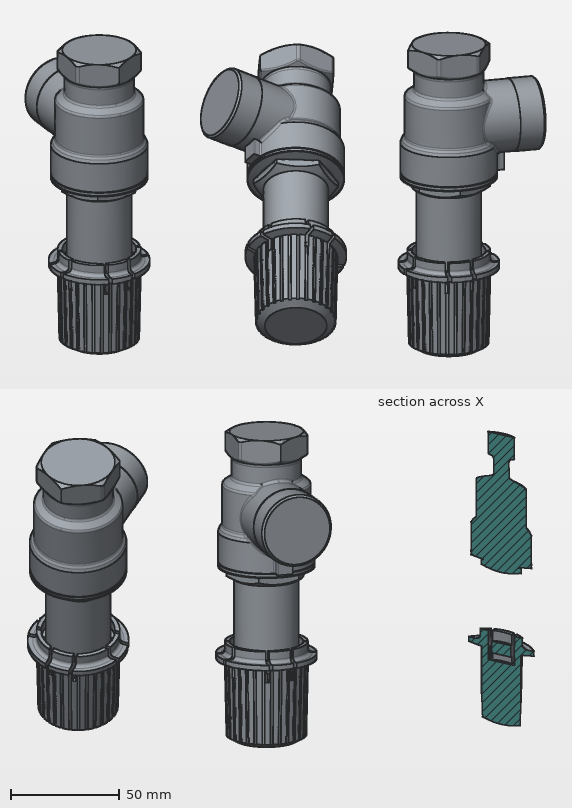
import cadquery as cq
import math


edge_tolerance = 0.05

neck_radius = 16.1
neck_flare_radius = 16.3
neck_flare_z = 24.0
shoulder_radius = 20.5
step_radius = 21.7
skirt_radius = 22.4
neck_end_z = 15.5
shoulder_top_z = 12.4
shoulder_bottom_z = -7.3
step_z = -8.9
skirt_top_z = -10.6
step_fillet = 1.5
skirt_edge_drop = 0.95
skirt_bottom_z = -28.15
skirt_inner_edge_radius = 18.0
seam_zs = (-25.0, -26.8)
seam_width = 0.3
seam_depth = 0.25

nut_across_flats = 34.0
nut_corner_radius = nut_across_flats / 2 / math.cos(math.pi / 6)
nut_chamfer_slope = math.tan(math.pi / 6)
inlet_top_z = 37.0
inlet_bottom_z = 25.2
inlet_corner_fillet = 2.0
inlet_chamfer_fillet = 1.0
bonnet_bottom_z = -33.0

port_end_x = -42.0
port_radius = 16.85
port_collar_length = 12.3
port_collar_radius = 17.0
port_chamfer = 1.0
port_root_fillet = 1.5

rib_face_x = -25.6
rib_width = 7.8
rib_bottom_z = -25.0
rib_edge_fillet = 0.45
rib_root_radius = 0.9

stem_radius = 15.0
stem_bottom_z = -74.3

knob_top_z = -63.2
knob_bottom_z = -110.0
collar_radius = 19.2
collar_bore_radius = 17.0
collar_ledge_z = -68.2
flange_radius = 23.34
flange_top_z = -68.6
flange_edge_z = -71.1
flange_bottom_z = -72.0
flange_root_fillet = 1.8
grip_top_radius = 19.3
grip_end_radius = 18.5
grip_end_z = -107.6
knob_tip_radius = 14.3
slot_offset = 5.93
slot_width = 1.6
slot_bottom_z = -77.8
flute_count = 30
flute_width = 1.2
flute_depth = 0.6

cut_clearance = 1.0


def spin(profile):
    """Revolve a closed profile drawn in the XZ plane about the Z axis."""
    return profile.close().revolve(360, (0, 0, 0), (0, 1, 0))


def ring(outer_radius, inner_radius, bottom_z, height):
    return (
        cq.Workplane("XY", origin=(0, 0, bottom_z))
        .circle(outer_radius)
        .circle(inner_radius)
        .extrude(height)
    )


def hexagon(bottom_z, top_z, turn):
    """Hexagonal prism with a corner on X, turned about Z by the given angle."""
    return (
        cq.Workplane("XY", origin=(0, 0, bottom_z))
        .polygon(6, 2 * nut_corner_radius)
        .extrude(top_z - bottom_z)
        .rotate((0, 0, 0), (0, 0, 1), turn)
    )


def valve_body():
    """Solid body without the inlet nut, with rounded steps between neck, shoulder and skirt."""
    sharp = spin(
        cq.Workplane("XZ")
        .moveTo(0, inlet_bottom_z)
        .lineTo(neck_flare_radius, inlet_bottom_z)
        .lineTo(neck_radius, neck_flare_z)
        .lineTo(neck_radius, neck_end_z)
        .lineTo(shoulder_radius, shoulder_top_z)
        .lineTo(shoulder_radius, shoulder_bottom_z)
        .lineTo(step_radius, step_z)
        .lineTo(skirt_radius, skirt_top_z)
        .lineTo(skirt_radius, skirt_bottom_z + skirt_edge_drop)
        .lineTo(skirt_inner_edge_radius, skirt_bottom_z)
        .lineTo(0, skirt_bottom_z)
    )
    rounded = sharp
    for edge_z in (neck_end_z, shoulder_top_z, shoulder_bottom_z):
        rounded = rounded.edges(ring_edge_at(edge_z)).fillet(step_fillet)
    return rounded


def ring_edge_at(z):
    """Selector for the edges lying in the horizontal plane at height z."""
    reach = 2 * skirt_radius
    return cq.selectors.BoxSelector(
        (-reach, -reach, z - edge_tolerance),
        (reach, reach, z + edge_tolerance),
        boundingbox=True,
    )


def port_pipe():
    """Plain pipe from the port collar to the body axis, with its seam turned to the top."""
    length = -port_end_x - port_collar_length
    pipe = cq.Workplane("YZ", origin=(-length, 0, 0)).circle(port_radius).extrude(length)
    return pipe.rotate((0, 0, 0), (1, 0, 0), 90)


def port_collar():
    collar = cq.Workplane("YZ", origin=(port_end_x, 0, 0)).circle(port_collar_radius)
    collar = collar.extrude(port_collar_length).faces("<X").chamfer(port_chamfer)
    return collar.rotate((0, 0, 0), (1, 0, 0), 90)


def body_with_port():
    joined = valve_body().union(port_pipe())
    joined = joined.edges("%BSPLINE").fillet(port_root_fillet)
    return joined.union(port_collar())


def rib():
    """Upright rib with rounded outer edges and a flared root where it meets the skirt."""
    half_width = rib_width / 2
    root_half_width = half_width + rib_root_radius
    root_x = -math.sqrt(skirt_radius**2 - root_half_width**2)
    flare_x = root_x - rib_root_radius
    return (
        cq.Workplane("XY", origin=(0, 0, rib_bottom_z))
        .moveTo(-stem_radius, root_half_width)
        .lineTo(root_x, root_half_width)
        .radiusArc((flare_x, half_width), rib_root_radius)
        .lineTo(rib_face_x, half_width)
        .lineTo(rib_face_x, -half_width)
        .lineTo(flare_x, -half_width)
        .radiusArc((root_x, -root_half_width), rib_root_radius)
        .lineTo(-stem_radius, -root_half_width)
        .close()
        .extrude(-rib_bottom_z)
        .edges("|Z and <X")
        .fillet(rib_edge_fillet)
    )


def seam_grooves():
    """Rings that cut the fine grooves near the foot of the skirt."""
    outer_radius = skirt_radius + cut_clearance
    inner_radius = skirt_radius - seam_depth
    grooves = cq.Workplane("XY")
    for seam_z in seam_zs:
        groove = ring(outer_radius, inner_radius, seam_z - seam_width, seam_width)
        grooves = grooves.add(groove)
    return grooves


def inlet_nut():
    """Nut with conical chamfers at both ends; the corners on X stay sharp, the others rounded."""
    reach = nut_corner_radius
    top_chamfer = (reach - nut_across_flats / 2) * nut_chamfer_slope
    bottom_chamfer = (reach - neck_flare_radius) * nut_chamfer_slope
    envelope = spin(
        cq.Workplane("XZ")
        .moveTo(0, inlet_bottom_z)
        .lineTo(neck_flare_radius, inlet_bottom_z)
        .lineTo(reach, inlet_bottom_z + bottom_chamfer)
        .lineTo(reach, inlet_top_z - top_chamfer)
        .lineTo(nut_across_flats / 2, inlet_top_z)
        .lineTo(0, inlet_top_z)
    )
    prism = hexagon(inlet_bottom_z, inlet_top_z, 0)
    prism = prism.edges("|Z and (>Y or <Y)").fillet(inlet_corner_fillet)
    cone_top_z = inlet_bottom_z + bottom_chamfer
    lower_edges = cq.selectors.BoxSelector(
        (-nut_across_flats, -nut_across_flats, inlet_bottom_z + edge_tolerance),
        (nut_across_flats, nut_across_flats, cone_top_z + edge_tolerance),
        boundingbox=True,
    )
    return prism.intersect(envelope).edges(lower_edges).fillet(inlet_chamfer_fillet)


def bonnet_nut():
    chamfer_height = (nut_corner_radius - stem_radius) * nut_chamfer_slope
    envelope = spin(
        cq.Workplane("XZ")
        .moveTo(0, bonnet_bottom_z)
        .lineTo(stem_radius, bonnet_bottom_z)
        .lineTo(nut_corner_radius, bonnet_bottom_z + chamfer_height)
        .lineTo(nut_corner_radius, skirt_bottom_z)
        .lineTo(0, skirt_bottom_z)
    )
    return hexagon(bonnet_bottom_z, skirt_bottom_z, 30).intersect(envelope)


def stem():
    return (
        cq.Workplane("XY", origin=(0, 0, stem_bottom_z))
        .circle(stem_radius)
        .extrude(skirt_bottom_z - stem_bottom_z)
    )


def knob_blank():
    """Hollow knob whose ledge closes on the stem, with a chamber below the stem end."""
    outside = spin(
        cq.Workplane("XZ")
        .moveTo(0, knob_top_z)
        .lineTo(collar_radius, knob_top_z)
        .lineTo(collar_radius, flange_top_z + flange_root_fillet)
        .tangentArcPoint((collar_radius + flange_root_fillet, flange_top_z), relative=False)
        .lineTo(flange_radius, flange_top_z)
        .lineTo(flange_radius, flange_edge_z)
        .lineTo(grip_top_radius, flange_bottom_z)
        .lineTo(grip_end_radius, grip_end_z)
        .lineTo(knob_tip_radius, knob_bottom_z)
        .lineTo(0, knob_bottom_z)
    )
    bore = cq.Workplane("XY", origin=(0, 0, collar_ledge_z)).circle(collar_bore_radius)
    bore = bore.extrude(knob_top_z - collar_ledge_z)
    chamber = cq.Workplane("XY", origin=(0, 0, slot_bottom_z)).circle(collar_bore_radius)
    chamber = chamber.extrude(stem_bottom_z - slot_bottom_z)
    return outside.cut(bore).cut(chamber)


def knob_slots():
    """Straight slots through the collar and flange, two along Y and two along X."""
    slots = cq.Workplane("XY")
    height = knob_top_z - slot_bottom_z
    slot_length = 2 * (flange_radius + cut_clearance)
    for turn in (0, 90):
        for offset in (-slot_offset, slot_offset):
            slot = (
                cq.Workplane("XY", origin=(0, 0, slot_bottom_z))
                .center(offset, 0)
                .rect(slot_width, slot_length)
                .extrude(height)
                .rotate((0, 0, 0), (0, 0, 1), turn)
            )
            slots = slots.add(slot)
    return slots


def grip_flutes():
    """Shallow grooves that follow the taper of the grip from the flange to the tip chamfer."""
    flutes = cq.Workplane("XY")
    section = (
        cq.Workplane("XZ", origin=(0, flute_width / 2, 0))
        .moveTo(grip_top_radius - flute_depth, flange_bottom_z)
        .lineTo(grip_top_radius + cut_clearance, flange_bottom_z)
        .lineTo(grip_end_radius + cut_clearance, knob_bottom_z)
        .lineTo(grip_end_radius - flute_depth, knob_bottom_z)
        .close()
        .extrude(flute_width)
    )
    pitch = 360 / flute_count
    first_angle = 90 + pitch / 2
    for index in range(flute_count):
        flutes = flutes.add(section.rotate((0, 0, 0), (0, 0, 1), first_angle + index * pitch))
    return flutes


def cut_each(shape, tools):
    for tool in tools.vals():
        shape = shape.cut(cq.Workplane(tool))
    return shape


body = cut_each(body_with_port().union(rib()), seam_grooves())
knob = cut_each(knob_blank(), grip_flutes())
knob = cut_each(knob, knob_slots())
result = body.union(inlet_nut()).union(bonnet_nut()).union(knob).union(stem())